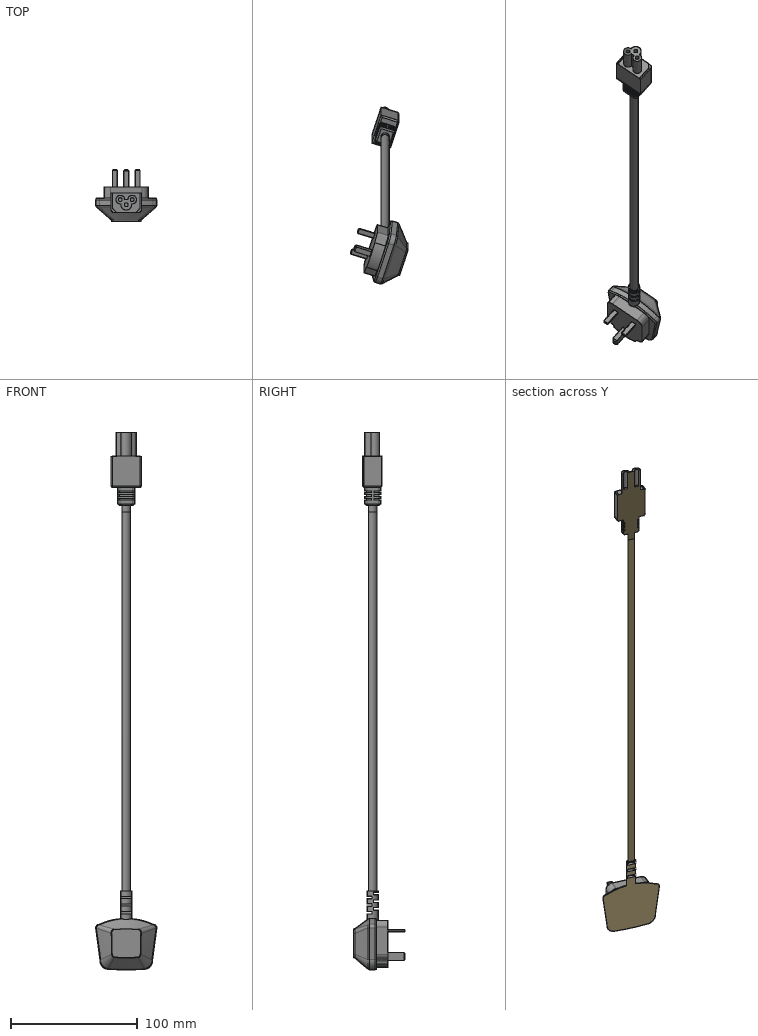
import cadquery as cq

LENGTH = 425.0

CABLE_D = 7.0
CABLE_BOTTOM = 62.5
CABLE_TOP = LENGTH - 63.0

FLANGE_BACK_Y = 3.05
FLANGE_FRONT_Y = -3.9
PLATE_THICKNESS = 9.0
COVER_DEPTH = 11.5
COVER_RIM = 1.3
COVER_RIM_INSET = 0.5
FLANGE_BEVEL = 1.3
FLANGE_BEVEL_INSET = 0.65
FLANGE_SIDE_TAPER = 3.5
CORNER_PULL = 0.41
PLATE_BACK_Y = FLANGE_BACK_Y + PLATE_THICKNESS
COVER_FRONT_Y = FLANGE_FRONT_Y - COVER_DEPTH
FLANGE_HALF_WIDTH = 24.2
FLANGE_TOP = 41.0

PIN_LENGTH = 13.5
PIN_TIP_Y = PLATE_BACK_Y + PIN_LENGTH
PIN_WIDTH = 4.0
EARTH_TIP_CHAMFER = 1.05
LIVE_TIP_CHAMFER = 0.65
LIVE_PIN_THICKNESS = 1.5
LIVE_PIN_X = 9.0
LIVE_PIN_Z = 31.0
EARTH_PIN_HEIGHT = 6.5
EARTH_PIN_Z = 10.5

SLEEVE_D = 9.0
SLEEVE_ROOT = 4.2
SLEEVE_SLOT_HEIGHT = 1.8
SLEEVE_WEB = 1.3
SLEEVE_SLOT_PITCH = 3.0
SLEEVE_SLOT_COUNT = 6
SLEEVE_FIRST_SLOT_DROP = 2.0

BLOCK_WIDTH = 24.2
BLOCK_BACK_Y = 7.2
BLOCK_FRONT_Y = -8.0
BLOCK_TOP = LENGTH - 18.5
BLOCK_BOTTOM = LENGTH - 43.8
BLOCK_CHAMFER = 1.3

PAD_HEIGHT = 0.5
PAD_SIDE_INSET = 1.3
PAD_CORNER = 3.0

UPPER_LOBE_D = 7.0
CONTACT_D = 3.0
UPPER_LOBE_X = 4.5
UPPER_LOBE_Y = 1.9
LOWER_LOBE_D = 8.5
LOWER_LOBE_Y = -2.0
BRIDGE_TOP_Y = 0.65
CONTACT_DEPTH = 15.0

RELIEF_WIDTH = 13.5
RELIEF_DEPTH = 12.8
RELIEF_BOTTOM = LENGTH - 58.0
RELIEF_CORNER = 1.5
RELIEF_CHAMFER = 1.3
RELIEF_GROOVE_DEPTH = 1.3
RELIEF_GROOVE_HEIGHT = 1.3
RELIEF_GROOVE_PITCH = 3.0
RELIEF_GROOVE_COUNT = 3
RELIEF_FIRST_GROOVE_DROP = 2.5
RELIEF_RIB = 1.5


def cylinder(diameter, bottom, top):
    return cq.Workplane("XY").workplane(offset=bottom).circle(diameter / 2).extrude(top - bottom)


def box_between(x_range, y_range, z_range):
    sizes = [high - low for low, high in (x_range, y_range, z_range)]
    return cq.Workplane("XY").box(*sizes, centered=False).translate((x_range[0], y_range[0], z_range[0]))


def rounded_corner(start, corner, end):
    """Midpoint of the rounding that replaces the sharp corner between start and end."""
    return tuple((1 - CORNER_PULL) * (a + b) / 2 + CORNER_PULL * c for a, c, b in zip(start, corner, end))


def shield_wire(y, top, bottom, top_end, top_side, low_side, bottom_end):
    """Outline in the plane at y, mirrored about X = 0, with bowed top and bottom and rounded corners.

    top and bottom are heights at X = 0; the (x, z) points run down the +X side.
    """
    top_mid = rounded_corner(top_end, (top_side[0], top_end[1]), top_side)
    low_mid = rounded_corner(low_side, (low_side[0], bottom_end[1]), bottom_end)

    def at(point, side=1):
        return cq.Vector(side * point[0], y, point[1])

    def arc(a, b, c):
        return cq.Edge.makeThreePointArc(a, b, c)

    edges = [
        arc(at(top_end, -1), at((0, top)), at(top_end)),
        arc(at(top_end), at(top_mid), at(top_side)),
        cq.Edge.makeLine(at(top_side), at(low_side)),
        arc(at(low_side), at(low_mid), at(bottom_end)),
        arc(at(bottom_end), at((0, bottom)), at(bottom_end, -1)),
        arc(at(bottom_end, -1), at(low_mid, -1), at(low_side, -1)),
        cq.Edge.makeLine(at(low_side, -1), at(top_side, -1)),
        arc(at(top_side, -1), at(top_mid, -1), at(top_end, -1)),
    ]
    return cq.Wire.assembleEdges(edges)


def flange_wire(y, inset=0.0):
    side = FLANGE_HALF_WIDTH - inset
    return shield_wire(
        y,
        top=FLANGE_TOP - inset,
        bottom=inset,
        top_end=(21.2, 36.0 - inset),
        top_side=(side, 33.0),
        low_side=(side - FLANGE_SIDE_TAPER, 8.0),
        bottom_end=(14.5, 0.5 + inset),
    )


def cover_face_wire(y, inset=0.0):
    return shield_wire(
        y,
        top=32.7 - inset,
        bottom=9.5 + inset,
        top_end=(9.8, 32.5 - inset),
        top_side=(12.0 - inset, 29.0),
        low_side=(11.5 - inset, 12.5),
        bottom_end=(9.5, 9.8 + inset),
    )


def ruled_body(*wires):
    return cq.Workplane(cq.Solid.makeLoft(list(wires), True))


def make_flange_and_cover():
    return ruled_body(
        flange_wire(FLANGE_BACK_Y, FLANGE_BEVEL_INSET),
        flange_wire(FLANGE_BACK_Y - FLANGE_BEVEL),
        flange_wire(FLANGE_FRONT_Y + FLANGE_BEVEL),
        flange_wire(FLANGE_FRONT_Y, FLANGE_BEVEL_INSET),
        cover_face_wire(COVER_FRONT_Y + COVER_RIM),
        cover_face_wire(COVER_FRONT_Y, COVER_RIM_INSET),
    )


def make_plate():
    """Backing plate whose sides step inward near the bottom in a smooth S."""
    side_x, side_low_z, side_top_z = 17.5, 12.5, 34.0
    top_x, top_z = 12.5, 39.0
    foot_x, foot_z = 10.5, 4.5
    bottom_z = 2.0
    corner_mid = rounded_corner((side_x, side_top_z), (side_x, top_z), (top_x, top_z))
    down, up = (0, -1), (0, 1)
    return (
        cq.Workplane("XZ", origin=(0, PLATE_BACK_Y, 0))
        .moveTo(-top_x, top_z)
        .lineTo(top_x, top_z)
        .threePointArc(corner_mid, (side_x, side_top_z))
        .lineTo(side_x, side_low_z)
        .spline([(foot_x, foot_z)], tangents=[down, down], includeCurrent=True)
        .threePointArc((0, bottom_z), (-foot_x, foot_z))
        .spline([(-side_x, side_low_z)], tangents=[up, up], includeCurrent=True)
        .lineTo(-side_x, side_top_z)
        .threePointArc((-corner_mid[0], corner_mid[1]), (-top_x, top_z))
        .close()
        .extrude(PLATE_THICKNESS)
    )


def pin(x, z, height):
    return box_between(
        (x - PIN_WIDTH / 2, x + PIN_WIDTH / 2),
        (PLATE_BACK_Y, PIN_TIP_Y),
        (z - height / 2, z + height / 2),
    )


def slotted_sleeve():
    """Cable sleeve with slots open to +Y and -Y in turn, counted down from its top."""
    sleeve = cylinder(SLEEVE_D, FLANGE_TOP - SLEEVE_ROOT, CABLE_BOTTOM)
    for i in range(SLEEVE_SLOT_COUNT):
        z = CABLE_BOTTOM - SLEEVE_FIRST_SLOT_DROP - i * SLEEVE_SLOT_PITCH
        y_range = (SLEEVE_WEB / 2, SLEEVE_D) if i % 2 == 0 else (-SLEEVE_D, -SLEEVE_WEB / 2)
        slot = box_between(
            (-SLEEVE_D, SLEEVE_D), y_range, (z - SLEEVE_SLOT_HEIGHT / 2, z + SLEEVE_SLOT_HEIGHT / 2)
        )
        sleeve = sleeve.cut(slot)
    return sleeve


def make_plug():
    plug = make_flange_and_cover().union(make_plate())
    plug = plug.union(slotted_sleeve())
    for x in (-LIVE_PIN_X, LIVE_PIN_X):
        live = pin(x, LIVE_PIN_Z, LIVE_PIN_THICKNESS).faces(">Y").chamfer(LIVE_TIP_CHAMFER)
        plug = plug.union(live)
    earth = pin(0, EARTH_PIN_Z, EARTH_PIN_HEIGHT).faces(">Y").chamfer(EARTH_TIP_CHAMFER)
    return plug.union(earth)


def make_cable():
    return cylinder(CABLE_D, CABLE_BOTTOM, CABLE_TOP)


def connector_block():
    half = BLOCK_WIDTH / 2
    block = box_between((-half, half), (BLOCK_FRONT_Y, BLOCK_BACK_Y), (BLOCK_BOTTOM, BLOCK_TOP - PAD_HEIGHT))
    return block.edges("<Z or (|Z and <Y)").chamfer(BLOCK_CHAMFER)


def nose_pad():
    half = BLOCK_WIDTH / 2 - PAD_SIDE_INSET
    pad = box_between((-half, half), (BLOCK_FRONT_Y, BLOCK_BACK_Y), (BLOCK_TOP - PAD_HEIGHT, BLOCK_TOP))
    return pad.edges("|Z and <Y").chamfer(PAD_CORNER)


def nose():
    lobes = [
        (-UPPER_LOBE_X, UPPER_LOBE_Y, UPPER_LOBE_D),
        (UPPER_LOBE_X, UPPER_LOBE_Y, UPPER_LOBE_D),
        (0, LOWER_LOBE_Y, LOWER_LOBE_D),
    ]
    bridge_bottom_y = UPPER_LOBE_Y - UPPER_LOBE_D / 2
    body = box_between((-UPPER_LOBE_X, UPPER_LOBE_X), (bridge_bottom_y, BRIDGE_TOP_Y), (BLOCK_TOP, LENGTH))
    for x, y, lobe_d in lobes:
        body = body.union(cylinder(lobe_d, BLOCK_TOP, LENGTH).translate((x, y, 0)))
    for x, y, _ in lobes:
        body = body.cut(cylinder(CONTACT_D, LENGTH - CONTACT_DEPTH, LENGTH).translate((x, y, 0)))
    return body


def relief():
    """Grooved block below the connector; a rib on each X side bridges the grooves."""
    w = RELIEF_WIDTH / 2
    d = RELIEF_DEPTH / 2
    body = box_between((-w, w), (-d, d), (RELIEF_BOTTOM, BLOCK_BOTTOM))
    body = body.edges("|Z").fillet(RELIEF_CORNER)
    body = body.faces("<Z").chamfer(RELIEF_CHAMFER)
    for i in range(RELIEF_GROOVE_COUNT):
        top = BLOCK_BOTTOM - RELIEF_FIRST_GROOVE_DROP - i * RELIEF_GROOVE_PITCH
        z_range = (top - RELIEF_GROOVE_HEIGHT, top)
        groove = box_between((-w, w), (-d, d), z_range)
        core_x = w - RELIEF_GROOVE_DEPTH
        core_y = d - RELIEF_GROOVE_DEPTH
        groove = groove.cut(box_between((-core_x, core_x), (-core_y, core_y), z_range))
        groove = groove.cut(box_between((-w, w), (-RELIEF_RIB / 2, RELIEF_RIB / 2), z_range))
        body = body.cut(groove)
    return body


def make_connector():
    stub = cylinder(CABLE_D, CABLE_TOP, RELIEF_BOTTOM)
    return connector_block().union(nose_pad()).union(nose()).union(relief()).union(stub)


plug = make_plug()
cable = make_cable()
connector = make_connector()

result = cq.Compound.makeCompound([plug.val(), cable.val(), connector.val()])